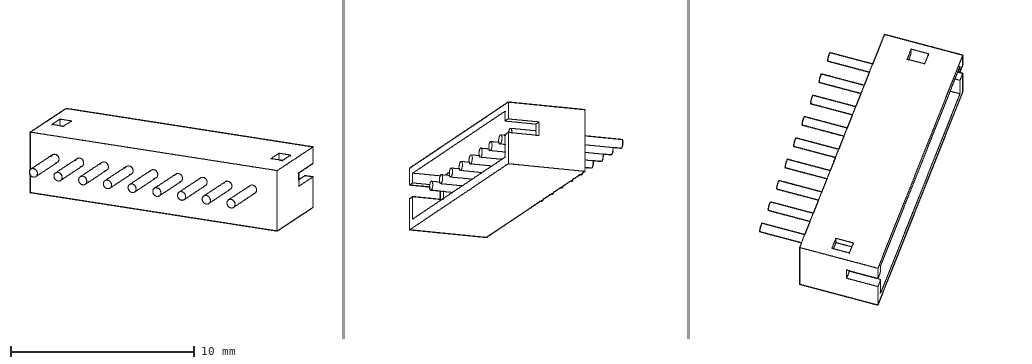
import cadquery as cq

housing_length = 15.0
housing_depth = 4.5
housing_height = 3.5

side_wall = 0.5
top_wall = 0.4
bottom_wall = 0.5
front_wall = 1.0

slot_depth = 1.8
slot_height = 0.76
slot_below_top = 0.96

window_length = 0.7
window_depth = 1.0

pin_count = 9
pin_pitch = 1.5
pin_diameter = 0.5
pin_protrusion = 2.7
pin_length = 6.51
pin_height = housing_height - 1.3


def box_between(x_range, y_range, z_range):
    """Box spanning the given (low, high) ranges."""
    sizes = [high - low for low, high in (x_range, y_range, z_range)]
    corner = (x_range[0], y_range[0], z_range[0])
    return cq.Workplane("XY").box(*sizes, centered=False).translate(corner)


def make_housing():
    half_length = housing_length / 2
    inner_half = half_length - side_wall
    cavity_top = housing_height - top_wall
    slot_top = housing_height - slot_below_top
    slot_floor_y = housing_depth - slot_depth

    housing = box_between((-half_length, half_length), (0, housing_depth), (0, housing_height))
    cavity = box_between((-inner_half, inner_half), (front_wall, housing_depth), (bottom_wall, cavity_top))
    slots = box_between(
        (-half_length, half_length),
        (slot_floor_y, housing_depth),
        (slot_top - slot_height, slot_top),
    )
    housing = housing.cut(cavity).cut(slots)

    window_y = (slot_floor_y - window_depth, slot_floor_y)
    window_z = (cavity_top, housing_height)
    for left_edge in (-inner_half, inner_half - window_length):
        window = box_between((left_edge, left_edge + window_length), window_y, window_z)
        housing = housing.cut(window)
    return housing


def make_pins():
    return (
        cq.Workplane("XZ", origin=(0, pin_length - pin_protrusion, pin_height))
        .rarray(pin_pitch, 0.15, pin_count, 1)
        .circle(pin_diameter / 2)
        .extrude(pin_length)
    )


result = make_housing().union(make_pins())